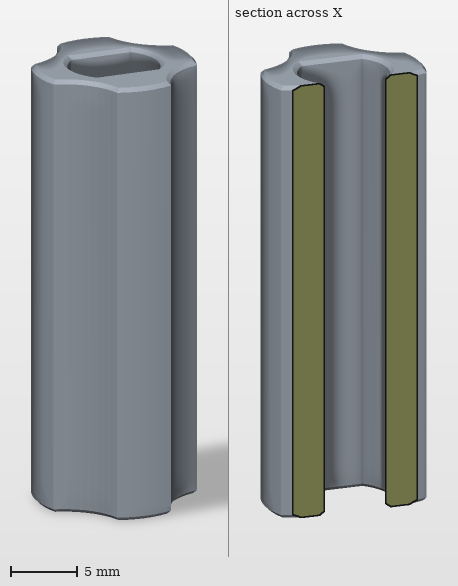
import cadquery as cq

length = 34.38
body_radius = 6.25
flute_radius = 5.0
flute_center_radius = 2 * flute_radius
flute_count = 4
bore_radius = 3.5
bore_flat_width = 5.02
edge_chamfer = 0.3

first_flute_angle = 180.0 / flute_count


def fluted_body():
    """Round bar with concave lengthwise flutes that leave one lobe on each axis direction."""
    bar = cq.Workplane("XY").circle(body_radius).extrude(length)
    flutes = (
        cq.Workplane("XY")
        .polarArray(flute_center_radius, first_flute_angle, 360, flute_count)
        .circle(flute_radius)
        .extrude(length)
    )
    return bar.cut(flutes)


def double_d_bore():
    """Through bore with two flats facing along X."""
    round_bore = cq.Workplane("XY").circle(bore_radius).extrude(length)
    flat_limits = cq.Workplane("XY").rect(bore_flat_width, 2 * bore_radius).extrude(length)
    return round_bore.intersect(flat_limits)


result = fluted_body().cut(double_d_bore()).faces("<Z or >Z").edges().chamfer(edge_chamfer)